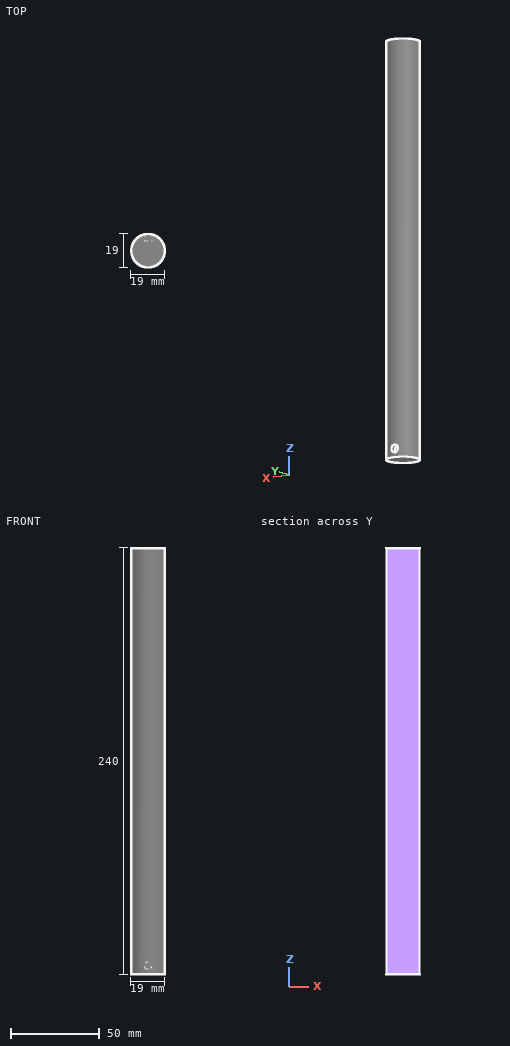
import cadquery as cq

ROD_DIAMETER = 19.0
ROD_LENGTH = 240.0

CROSS_HOLE_DIAMETER = 4.2
CROSS_HOLE_DEPTH = 4.0
CROSS_HOLE_HEIGHT = 5.0


def make_rod():
    """Plain round rod standing on the XY plane, axis along Z."""
    return cq.Workplane("XY").circle(ROD_DIAMETER / 2).extrude(ROD_LENGTH)


def make_cross_hole():
    """Cutter for the blind radial hole drilled into the +Y side near the bottom."""
    hole_bottom = ROD_DIAMETER / 2 - CROSS_HOLE_DEPTH
    return (
        cq.Workplane("XZ", origin=(0, hole_bottom, CROSS_HOLE_HEIGHT))
        .circle(CROSS_HOLE_DIAMETER / 2)
        .extrude(-ROD_DIAMETER / 2)
    )


result = make_rod().cut(make_cross_hole())